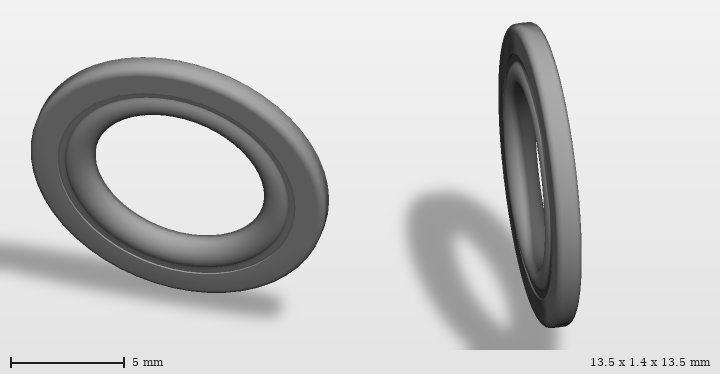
import cadquery as cq
import math


outer_radius = 6.75
washer_thickness = 1.11
bore_radius = 5.45
rim_fillet = 0.28

bead_diameter = 1.4
bead_inner_radius = 3.89
web_thickness = 0.95

bead_radius = bead_diameter / 2
bead_centre_radius = bead_inner_radius + bead_radius
web_half_thickness = web_thickness / 2
web_inner_radius = bead_centre_radius + math.sqrt(bead_radius**2 - web_half_thickness**2)


def revolve_about_y(profile):
    """Turn a closed profile in the XY plane through a full circle about Y."""
    return profile.close().revolve(360, (0, 0, 0), (0, 1, 0))


def make_washer():
    """Flat ring with both outer rims rounded."""
    half_thickness = washer_thickness / 2
    profile = (
        cq.Workplane("XY")
        .moveTo(bore_radius, -half_thickness)
        .lineTo(outer_radius - rim_fillet, -half_thickness)
        .radiusArc((outer_radius, -half_thickness + rim_fillet), -rim_fillet)
        .lineTo(outer_radius, half_thickness - rim_fillet)
        .radiusArc((outer_radius - rim_fillet, half_thickness), -rim_fillet)
        .lineTo(bore_radius, half_thickness)
    )
    return revolve_about_y(profile)


def make_sealing_ring():
    """Round bead with a flat web that reaches out to the washer bore."""
    profile = (
        cq.Workplane("XY")
        .moveTo(bore_radius, -web_half_thickness)
        .lineTo(bore_radius, web_half_thickness)
        .lineTo(web_inner_radius, web_half_thickness)
        .threePointArc((bead_inner_radius, 0), (web_inner_radius, -web_half_thickness))
    )
    return revolve_about_y(profile)


washer = make_washer()
sealing_ring = make_sealing_ring()

result = cq.Compound.makeCompound([washer.val(), sealing_ring.val()])